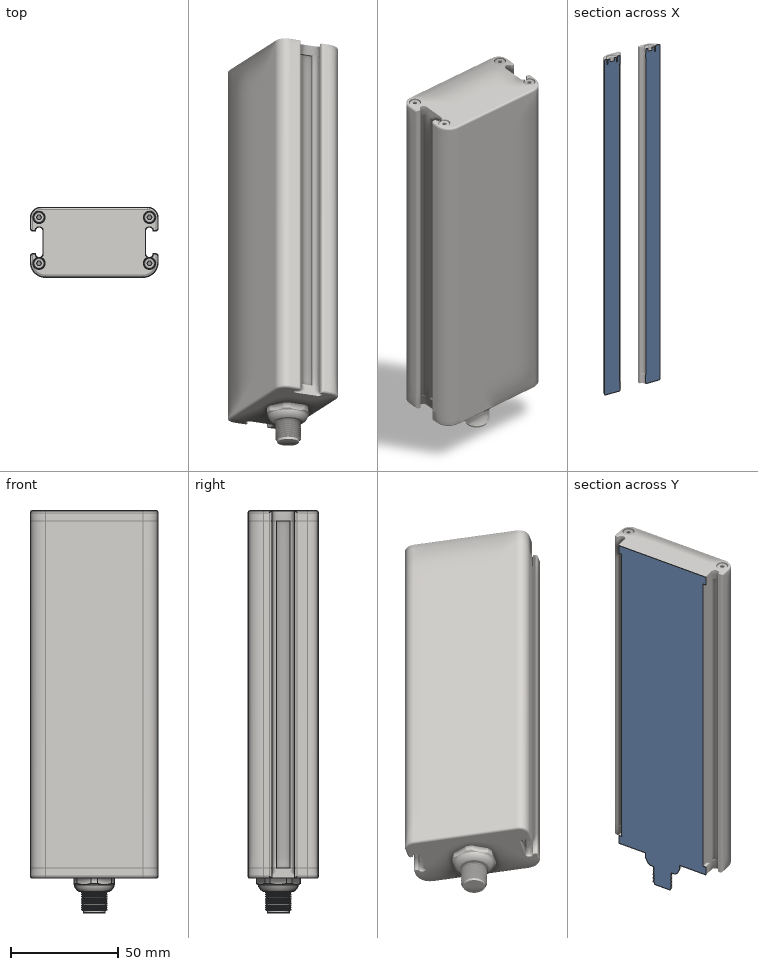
import cadquery as cq
import math

width = 59.4
depth = 32.6
box_height = 171.0
cap_height = 4.75
front_corner_radius = 7.0
back_corner_radius = 5.0
cap_edge_radius = 1.0

slot_floor_x = 23.9
lip_thickness = 2.3
lip_edge_radius = 1.2
slot_mouth_half = 5.3
cap_slot_inner_half = 7.1
body_slot_inner_half = 7.3
slot_inner_depth = width / 2 - lip_thickness - slot_floor_x
floor_groove_width = 6.5
floor_groove_depth = 1.4

screw_x = 25.7
back_screw_y = 11.6
front_screw_y = -9.8
screw_bore_radius = 2.8
screw_bore_depth = 3.0
screw_head_radius = 2.5
screw_head_height = 2.6
screw_head_edge = 0.3
screw_socket_width = 2.0
screw_socket_depth = 1.5

connector_y = -2.3
connector_length = 16.16
nut_across_flats = 19.0
nut_corner_radius = 10.25
nut_straight_height = 2.4
nut_height = 6.1
nut_end_radius = 7.0
nut_dome_radius = 9.3
nut_dome_start = 3.1
nut_dome_mid_radius = 8.7
nut_dome_mid_depth = 4.6
thread_radius = 6.0
thread_root_radius = 5.1
thread_pitch = 1.0
thread_end_length = 0.6


def hexagon_corners(across_flats):
    """Distance across the corners of a regular hexagon."""
    return across_flats / math.cos(math.pi / 6)


def rounded_outline(z, height):
    """Solid block with larger radii on the front (-Y) corners than the back."""
    block = cq.Workplane("XY").box(width, depth, height, centered=(True, True, False))
    block = block.edges("|Z and <Y").fillet(front_corner_radius)
    block = block.edges("|Z and >Y").fillet(back_corner_radius)
    return block.translate((0, 0, z))


def slot_cutter(side, z, height, rounded):
    """T-slot on one side; the widened part has round or square ends."""
    mouth_depth = width / 2 - slot_floor_x
    mouth_x = side * (slot_floor_x + mouth_depth / 2)
    inner_x = side * (slot_floor_x + slot_inner_depth / 2)
    mouth = cq.Workplane("XY").center(mouth_x, 0).rect(mouth_depth, 2 * slot_mouth_half).extrude(height)
    inner = cq.Workplane("XY").center(inner_x, 0)
    if rounded:
        inner = inner.slot2D(2 * cap_slot_inner_half, slot_inner_depth, 90)
    else:
        inner = inner.rect(slot_inner_depth, 2 * body_slot_inner_half)
    return mouth.union(inner.extrude(height)).translate((0, 0, z))


def cut_slots(block, z, height, rounded):
    """Cut both T-slots and round the outer edges of their lips."""
    for side in (-1, 1):
        block = block.cut(slot_cutter(side, z, height, rounded))
        for lip in (-1, 1):
            block = block.cut(lip_rounding(side, lip, z, height))
    return block


def lip_rounding(side, lip, z, height):
    """Corner sliver removed to leave a convex round on one lip edge."""
    edge_x = side * width / 2
    edge_y = lip * slot_mouth_half
    center_x = edge_x - side * lip_edge_radius
    center_y = edge_y + lip * lip_edge_radius
    diagonal = lip_edge_radius * math.sqrt(0.5)
    sliver = (
        cq.Workplane("XY")
        .moveTo(edge_x, edge_y)
        .lineTo(edge_x, center_y)
        .threePointArc((center_x + side * diagonal, center_y - lip * diagonal), (center_x, edge_y))
        .close()
        .extrude(height)
    )
    return sliver.translate((0, 0, z))


def make_body():
    """Extruded middle section with a shallow groove in each slot floor."""
    length = box_height - 2 * cap_height
    body = cut_slots(rounded_outline(cap_height, length), cap_height, length, False)
    for side in (-1, 1):
        groove = cq.Workplane("XY").box(
            2 * floor_groove_depth, floor_groove_width, length, centered=(True, True, False)
        )
        body = body.cut(groove.translate((side * slot_floor_x, 0, cap_height)))
    return body


def make_cap(z, outer_face):
    """End cap whose outer face has a rounded rim, broken by the slots."""
    cap = rounded_outline(z, cap_height).faces(outer_face).edges().fillet(cap_edge_radius)
    return cut_slots(cap, z, cap_height, True)


def add_screws(cap):
    """Sink a round-edged socket screw into a bore at each corner."""
    bore_floor = box_height - screw_bore_depth
    for x in (-screw_x, screw_x):
        for y in (front_screw_y, back_screw_y):
            bore = cq.Workplane("XY").circle(screw_bore_radius).extrude(screw_bore_depth)
            head = cq.Workplane("XY").circle(screw_head_radius).extrude(screw_head_height)
            head = head.faces(">Z").edges().fillet(screw_head_edge)
            head = (
                head.faces(">Z")
                .workplane()
                .polygon(6, hexagon_corners(screw_socket_width))
                .cutBlind(-screw_socket_depth)
            )
            place = (x, y, bore_floor)
            cap = cap.cut(bore.translate(place)).union(head.translate(place))
    return cap


def make_nut():
    """Hexagon nut with rounded-off, chamfered corners and a domed lower end."""
    turned = (
        cq.Workplane("XZ")
        .lineTo(nut_corner_radius, 0)
        .lineTo(nut_corner_radius, -nut_straight_height)
        .lineTo(nut_dome_radius, -nut_dome_start)
        .threePointArc((nut_dome_mid_radius, -nut_dome_mid_depth), (nut_end_radius, -nut_height))
        .lineTo(0, -nut_height)
        .close()
        .revolve(360, (0, 0, 0), (0, 1, 0))
    )
    hexagon = (
        cq.Workplane("XY")
        .transformed(rotate=(0, 0, 30))
        .polygon(6, hexagon_corners(nut_across_flats))
        .extrude(-nut_height)
    )
    return turned.intersect(hexagon)


def make_thread():
    """Threaded stub, with the thread as a stack of V-shaped ridges."""
    ridge_span = connector_length - nut_height - thread_end_length
    ridge_count = math.floor(ridge_span / thread_pitch)
    outline = cq.Workplane("XZ").lineTo(thread_root_radius, 0)
    for ridge in range(ridge_count):
        top = -nut_height - ridge * thread_pitch
        outline = outline.lineTo(thread_root_radius, top)
        outline = outline.lineTo(thread_radius, top - thread_pitch / 2)
    outline = outline.lineTo(thread_root_radius, -nut_height - ridge_count * thread_pitch)
    outline = outline.lineTo(thread_root_radius, -connector_length)
    outline = outline.lineTo(0, -connector_length).close()
    return outline.revolve(360, (0, 0, 0), (0, 1, 0))


lower_cap = make_cap(0, "<Z")
upper_cap = add_screws(make_cap(box_height - cap_height, ">Z"))
connector = make_nut().union(make_thread()).translate((0, connector_y, 0))

enclosure = make_body().union(lower_cap, clean=False).union(upper_cap, clean=False)
result = enclosure.union(connector, clean=False)